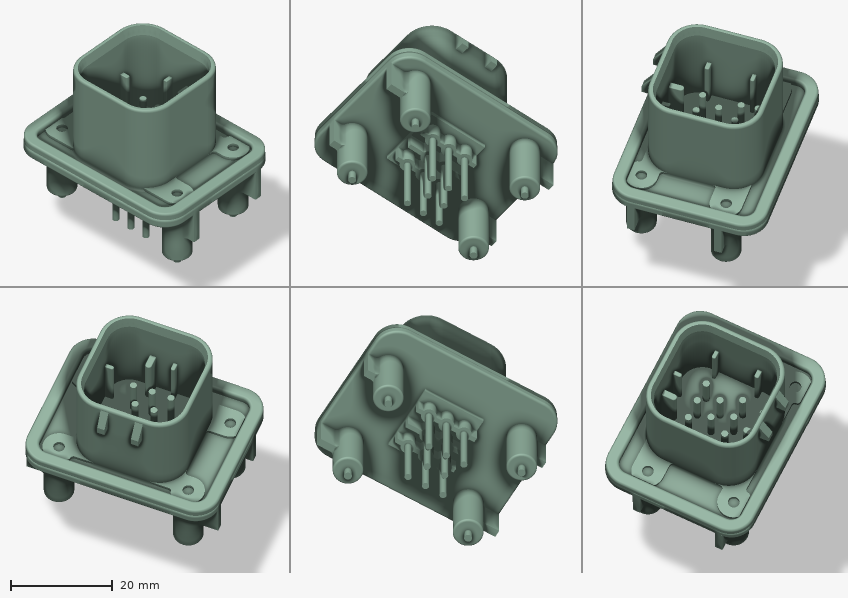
import cadquery as cq
import math


plate_length = 40.8
plate_width = 32.1
plate_corner = 5.0
plate_height = 3.5
lower_height = 2.05
upper_width = 31.85
plate_round = 0.5
seam_round = 0.57

margin = 0.05

rim_border = 2.75
recess_depth = 1.5
recess_round = 0.57
recess_length = plate_length - 2 * rim_border
recess_width = plate_width - 2 * rim_border
recess_corner = plate_corner - rim_border
floor_z = plate_height - recess_depth

shell_length = 23.38
shell_width = 23.6
shell_corner = 6.15
shell_top = 22.0
shell_round = 0.55
flare_round = 0.55
wall = 1.5
mouth_wall = 0.95
mouth_depth = 2.05

latch_reach = 13.87
latch_bottom = 16.55
latch_step = 18.2
latch_slope_top = 21.38
latch_inner = 2.8
latch_tip_width = 1.55
latch_root_width = 1.7

key_top = 12.1
key_top_round = 0.15
wide_key_width = 1.35
wide_key_reach = 2.95
wide_key_x = 2.4
narrow_key_width = 0.9
narrow_key_reach = 1.67
narrow_key_x = -2.35
upper_side_key_width = 0.98
lower_side_key_width = 0.85
side_key_reach = 1.7
side_key_y = 4.7
wide_key_round = 0.65
narrow_key_back_round = 0.2
narrow_key_front_round = 0.4
side_key_round = 0.35

pin_diameter = 1.4
pin_pitch = 4.0
pin_top = 9.55
pin_bottom = -16.08
pin_rows = [
    (pin_pitch, (-pin_pitch, 0, pin_pitch)),
    (0, (-pin_pitch / 2, pin_pitch / 2)),
    (-pin_pitch, (-pin_pitch, 0, pin_pitch)),
]

block_length = 13.35
block_width = 14.1
block_height = 0.98
sleeve_bottom = -3.95
sleeve_diameter = 3.05
row_rib_width = 0.98

back_post_x = 13.75
back_post_y = 10.77
front_post_x = 15.25
front_post_y = -7.3
post_diameter = 6.05
post_height = 12.25
post_round = 0.45
peg_diameter = 1.55
peg_length = 2.0
fin_thickness = 1.55
fin_height = 6.53
fin_fillet = 0.9
pad_radius = 3.25
pad_height = 0.7
pad_gap = 0.25
pad_fillet = 0.65
pad_step_x = 10.7
pad_hole_diameter = 2.3
pad_hole_depth = 0.78


def rounded_block(length, width, corner, bottom, top):
    """Upright block with rounded vertical edges."""
    block = cq.Workplane("XY").workplane(offset=bottom).rect(length, width)
    return block.extrude(top - bottom).edges("|Z").fillet(corner)


def box_between(x0, x1, y0, y1, bottom, top):
    """Box given by its limits along each axis."""
    box = cq.Workplane("XY").box(x1 - x0, y1 - y0, top - bottom, centered=False)
    return box.translate((x0, y0, bottom))


def cylinder(x, y, diameter, bottom, top):
    """Upright cylinder."""
    disc = cq.Workplane("XY").workplane(offset=bottom).center(x, y).circle(diameter / 2)
    return disc.extrude(top - bottom)


def edges_within(length, width, height):
    """Selector for the edges at one height that fit inside a centred rectangle."""
    corner = (length / 2 + margin, width / 2 + margin, height + margin)
    opposite = (-length / 2 - margin, -width / 2 - margin, height - margin)
    return cq.selectors.BoxSelector(opposite, corner, boundingbox=True)


def mirrored_pair(body):
    """The body together with its mirror image across X = 0."""
    return body.union(body.mirror("YZ"))


def make_plate():
    lower = rounded_block(plate_length, plate_width, plate_corner, 0, lower_height)
    lower = lower.faces("<Z").edges().fillet(plate_round)
    lower = lower.faces(">Z").edges().fillet(seam_round)
    upper = rounded_block(plate_length, upper_width, plate_corner, lower_height, plate_height)
    upper = upper.faces(">Z").edges().fillet(plate_round)
    plate = lower.union(upper)
    recess = rounded_block(recess_length, recess_width, recess_corner, floor_z, plate_height)
    plate = plate.cut(recess)
    rim = edges_within(recess_length, recess_width, plate_height)
    return plate.edges(rim).fillet(recess_round)


def make_shell():
    """Solid shell body with a flared foot; the cavity is cut later."""
    shell = rounded_block(shell_length, shell_width, shell_corner, floor_z, shell_top)
    shell = shell.faces(">Z").edges().fillet(shell_round)
    foot_spread = 2 * (flare_round + margin)
    foot = rounded_block(
        shell_length + foot_spread,
        shell_width + foot_spread,
        shell_corner + foot_spread / 2,
        floor_z - flare_round,
        floor_z,
    )
    inner_corner = edges_within(shell_length, shell_width, floor_z)
    return foot.union(shell).edges(inner_corner).fillet(flare_round)


def make_cavity():
    straight = rounded_block(
        shell_length - 2 * wall, shell_width - 2 * wall, shell_corner - wall, floor_z, shell_top
    )
    mouth_taper = math.degrees(math.atan((wall - mouth_wall) / mouth_depth))
    mouth_outline = cq.Sketch().rect(shell_length - 2 * mouth_wall, shell_width - 2 * mouth_wall)
    mouth_outline = mouth_outline.vertices().fillet(shell_corner - mouth_wall)
    mouth = cq.Workplane("XY").workplane(offset=shell_top).placeSketch(mouth_outline)
    return straight.union(mouth.extrude(-mouth_depth, taper=mouth_taper))


def make_latch():
    """The hook on the +X side: sloped top, outer flank spreading towards the shell."""
    root = shell_width / 2 - mouth_wall / 2
    side = (
        cq.Workplane("YZ")
        .polyline([
            (root, latch_bottom),
            (latch_reach, latch_bottom),
            (latch_reach, latch_step),
            (shell_width / 2, latch_slope_top),
            (root, latch_slope_top),
        ])
        .close()
        .extrude(plate_length)
    )
    plan = (
        cq.Workplane("XY")
        .polyline([
            (latch_inner, root),
            (latch_inner + latch_root_width, root),
            (latch_inner + latch_tip_width, latch_reach),
            (latch_inner, latch_reach),
        ])
        .close()
        .extrude(shell_top)
    )
    return side.intersect(plan)


def make_key(width, reach, tip_round, wall_distance, angle, offset):
    """Upright key on the cavity wall that faces the given angle, shifted along that wall."""
    root = wall_distance + wall / 2
    tip = wall_distance - reach
    key = box_between(tip, root, offset - width / 2, offset + width / 2, floor_z, key_top)
    key = key.edges("|Z and <X").fillet(tip_round)
    key = key.faces(">Z").edges().fillet(key_top_round)
    return key.rotate((0, 0, 0), (0, 0, 1), angle)


def make_keys():
    wall_x = shell_length / 2 - wall
    wall_y = shell_width / 2 - wall
    keys = cq.Workplane("XY")
    for angle, side, narrow_round in ((90, -1, narrow_key_back_round), (-90, 1, narrow_key_front_round)):
        wide_offset = side * wide_key_x
        narrow_offset = side * narrow_key_x
        keys = keys.add(
            make_key(wide_key_width, wide_key_reach, wide_key_round, wall_y, angle, wide_offset))
        keys = keys.add(
            make_key(narrow_key_width, narrow_key_reach, narrow_round, wall_y, angle, narrow_offset))
    for width, y in ((upper_side_key_width, side_key_y), (lower_side_key_width, -side_key_y)):
        side_key = make_key(width, side_key_reach, side_key_round, wall_x, 0, y)
        keys = keys.add(mirrored_pair(side_key))
    return keys.combine()


def make_contacts():
    """Contact block, one rib per pin row, and a sleeve around every pin."""
    half_length = block_length / 2
    half_width = block_width / 2
    contacts = box_between(-half_length, half_length, -half_width, half_width, -block_height, 0)
    for y, pin_xs in pin_rows:
        half_rib = row_rib_width / 2
        rib = box_between(
            -half_length, half_length, y - half_rib, y + half_rib, sleeve_bottom, -block_height)
        contacts = contacts.union(rib)
        for x in pin_xs:
            contacts = contacts.union(cylinder(x, y, sleeve_diameter, sleeve_bottom, -block_height))
    return contacts


def make_pins():
    pins = cq.Workplane("XY")
    for y, pin_xs in pin_rows:
        for x in pin_xs:
            pins = pins.add(cylinder(x, y, pin_diameter, pin_bottom, pin_top))
    return pins.combine()


def make_post(x, y):
    """Post on the +X side with a peg below and a filleted fin out to the plate's end."""
    post = cylinder(x, y, post_diameter, -post_height, 0)
    post = post.faces("<Z").edges().fillet(post_round)
    peg = cylinder(x, y, peg_diameter, -post_height - peg_length, -post_height)
    half_fin = fin_thickness / 2
    fin = box_between(
        x, plate_length / 2, y - half_fin, y + half_fin, -fin_height, plate_round)
    radius = post_diameter / 2
    centre_y = half_fin + fin_fillet
    centre_x = math.sqrt((radius + fin_fillet) ** 2 - centre_y ** 2)
    touch = radius / (radius + fin_fillet)
    mid_angle = (math.atan2(-centre_y, -centre_x) - math.pi / 2) / 2
    mid = (
        centre_x + fin_fillet * math.cos(mid_angle),
        centre_y + fin_fillet * math.sin(mid_angle),
    )
    web = (
        cq.Workplane("XY")
        .workplane(offset=-fin_height)
        .moveTo(0, 0)
        .lineTo(centre_x, 0)
        .lineTo(centre_x, half_fin)
        .threePointArc(mid, (centre_x * touch, centre_y * touch))
        .close()
        .extrude(fin_height)
    )
    web = web.union(web.mirror("XZ")).translate((x, y, 0))
    return post.union(peg).union(fin).union(web)


def make_back_pad():
    """Raised pad on the +X +Y side, trimmed along the recess and stepped down to the shell."""
    x, y = back_post_x, back_post_y
    top = floor_z + pad_height
    edge_y = recess_width / 2 - pad_gap
    step_y = shell_width / 2
    flat_end_x = shell_length / 2 - shell_corner
    pad = cylinder(x, y, 2 * pad_radius, floor_z, top)
    pad = pad.intersect(box_between(0, plate_length, 0, edge_y, floor_z, top))
    tail = (
        cq.Workplane("XY")
        .workplane(offset=floor_z)
        .polyline([
            (flat_end_x, step_y),
            (pad_step_x, step_y),
            (pad_step_x, edge_y),
            (x, edge_y),
            (x, y - pad_radius),
            (shell_length / 2, y - pad_radius),
            (shell_length / 2, 0),
            (flat_end_x, 0),
        ])
        .close()
        .extrude(pad_height)
    )
    fillet_points = ((pad_step_x, step_y), (pad_step_x, edge_y), (shell_length / 2, y - pad_radius))
    for point in fillet_points:
        edge = cq.selectors.NearestToPointSelector((*point, floor_z + pad_height / 2))
        tail = tail.edges("|Z").edges(edge).fillet(pad_fillet)
    return pad.union(tail)


def make_front_pad():
    """Raised pad on the +X -Y side, trimmed along the recess end."""
    x, y = front_post_x, front_post_y
    top = floor_z + pad_height
    edge_x = recess_length / 2 - pad_gap
    pad = cylinder(x, y, 2 * pad_radius, floor_z, top)
    pad = pad.intersect(box_between(0, edge_x, -plate_width, 0, floor_z, top))
    arm = box_between(0, x, y - pad_radius, y + pad_radius, floor_z, top)
    arm = arm.union(box_between(0, shell_length / 2, y, 0, floor_z, top))
    corner = cq.selectors.NearestToPointSelector(
        (shell_length / 2, y + pad_radius, floor_z + pad_height / 2))
    arm = arm.edges("|Z").edges(corner).fillet(pad_fillet)
    return pad.union(arm)


def make_pad_holes():
    top = floor_z + pad_height
    holes = cylinder(back_post_x, back_post_y, pad_hole_diameter, top - pad_hole_depth, top)
    holes = holes.union(
        cylinder(front_post_x, front_post_y, pad_hole_diameter, top - pad_hole_depth, top))
    return mirrored_pair(holes)


body = make_plate()
body = body.union(mirrored_pair(make_back_pad()))
body = body.union(mirrored_pair(make_front_pad()))
body = body.union(make_shell())
body = body.union(mirrored_pair(make_latch()))
body = body.cut(make_cavity())
body = body.cut(make_pad_holes())
body = body.union(make_keys())
body = body.union(make_contacts())
body = body.union(mirrored_pair(make_post(back_post_x, back_post_y)))
body = body.union(mirrored_pair(make_post(front_post_x, front_post_y)))
result = body.union(make_pins())